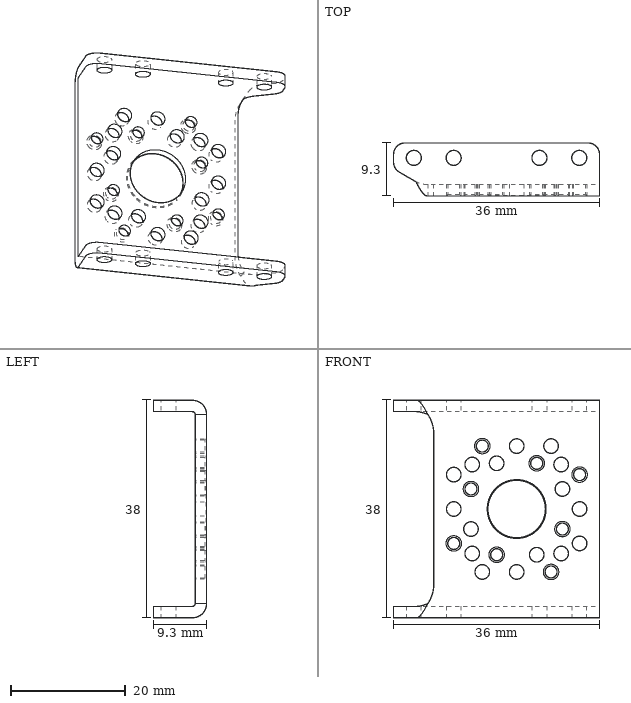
import cadquery as cq
import math

LENGTH = 36.0
DEPTH = 9.3
HEIGHT = 38.0
THICKNESS = 2.0
BEND_RADIUS = 2.5

CORNER_RADIUS = 2.0
EAR_FLAT = 1.35
EAR_SLOPE = 30.0
FLANGE_HOLE_DIAMETER = 2.6
FLANGE_HOLE_OFFSETS = (7.5, 14.45)
FLANGE_HOLE_INSET = 2.62

WEB_EDGE = 7.03
WEB_BEND_START = 6.0
WEB_ARC_HEIGHT = 3.42

WEB_PATTERN_INSET = 14.48
PATTERN_CENTER = LENGTH - WEB_PATTERN_INSET
BORE_DIAMETER = 10.0
BORE_CHAMFER = 0.15
CLEAR_DIAMETER = 2.5
SMALL_DIAMETER = 2.05
COUNTERSINK_DIAMETER = 2.7
PITCH_RADIUS = 11.0
OUTER_OFFSET = 6.0
INNER_RADIAL = 7.98
INNER_OFFSET = 3.5

EAR_END_X = CORNER_RADIUS * (1 - math.cos(math.radians(90 - EAR_SLOPE)))
EAR_END_Y = DEPTH - CORNER_RADIUS - EAR_FLAT - CORNER_RADIUS * math.cos(math.radians(EAR_SLOPE))
FLANGE_BEND_START = EAR_END_X + (EAR_END_Y - BEND_RADIUS) / math.tan(math.radians(EAR_SLOPE))
BEND_AXIS_Z = HEIGHT / 2 - BEND_RADIUS


def make_flange():
    """Upper flange, down to the start of the bend, with its four holes."""
    ear_mid_angle = math.radians((90 - EAR_SLOPE) / 2)
    ear_center_y = DEPTH - CORNER_RADIUS - EAR_FLAT
    ear_mid = (
        CORNER_RADIUS * (1 - math.cos(ear_mid_angle)),
        ear_center_y - CORNER_RADIUS * math.sin(ear_mid_angle),
    )
    flange = (
        cq.Workplane("XY", origin=(0, 0, HEIGHT / 2 - THICKNESS))
        .moveTo(FLANGE_BEND_START, BEND_RADIUS)
        .lineTo(LENGTH, BEND_RADIUS)
        .lineTo(LENGTH, DEPTH - CORNER_RADIUS)
        .radiusArc((LENGTH - CORNER_RADIUS, DEPTH), -CORNER_RADIUS)
        .lineTo(CORNER_RADIUS, DEPTH)
        .radiusArc((0, DEPTH - CORNER_RADIUS), -CORNER_RADIUS)
        .lineTo(0, ear_center_y)
        .threePointArc(ear_mid, (EAR_END_X, EAR_END_Y))
        .close()
        .extrude(THICKNESS)
    )
    hole_points = [
        (LENGTH / 2 + side * offset, DEPTH - FLANGE_HOLE_INSET)
        for offset in FLANGE_HOLE_OFFSETS
        for side in (-1, 1)
    ]
    holes = (
        cq.Workplane("XY", origin=(0, 0, HEIGHT / 2 - THICKNESS))
        .pushPoints(hole_points)
        .circle(FLANGE_HOLE_DIAMETER / 2)
        .extrude(THICKNESS)
    )
    return flange.cut(holes)


def make_bend():
    """Upper quarter-round bend; its left end face spirals from flange to web."""
    axis = cq.Workplane("YZ", origin=(FLANGE_BEND_START, BEND_RADIUS, BEND_AXIS_Z))
    inner_radius = BEND_RADIUS - THICKNESS
    half = math.sqrt(0.5)
    ring = (
        axis.moveTo(0, BEND_RADIUS)
        .threePointArc((-BEND_RADIUS * half, BEND_RADIUS * half), (-BEND_RADIUS, 0))
        .lineTo(-inner_radius, 0)
        .threePointArc((-inner_radius * half, inner_radius * half), (0, inner_radius))
        .close()
        .extrude(LENGTH - FLANGE_BEND_START)
    )
    spiral_size = 2 * BEND_RADIUS
    spiral = (
        axis.rect(spiral_size, spiral_size, centered=False)
        .twistExtrude(WEB_BEND_START - FLANGE_BEND_START, 90)
    )
    spiral_end = ring.intersect(spiral)
    full_end = ring.intersect(
        cq.Workplane("XY").box(LENGTH, HEIGHT, HEIGHT).translate((WEB_BEND_START + LENGTH / 2, 0, 0))
    )
    return full_end.union(spiral_end)


def make_web():
    """Flat web between the bends, with its left edge flaring at both ends."""
    flare = WEB_EDGE - WEB_BEND_START
    flare_radius = (WEB_ARC_HEIGHT**2 + flare**2) / (2 * flare)
    arc_z = BEND_AXIS_Z - WEB_ARC_HEIGHT
    return (
        cq.Workplane("XZ")
        .moveTo(WEB_BEND_START, BEND_AXIS_Z)
        .lineTo(LENGTH, BEND_AXIS_Z)
        .lineTo(LENGTH, -BEND_AXIS_Z)
        .lineTo(WEB_BEND_START, -BEND_AXIS_Z)
        .radiusArc((WEB_EDGE, -arc_z), -flare_radius)
        .lineTo(WEB_EDGE, arc_z)
        .radiusArc((WEB_BEND_START, BEND_AXIS_Z), -flare_radius)
        .close()
        .extrude(-THICKNESS)
    )


def quarter_turns(x, z):
    """The point and its copies turned by 90, 180 and 270 degrees."""
    return [(x, z), (-z, x), (-x, -z), (z, -x)]


def cut_web_holes(body):
    """Chamfered bore and the surrounding clear and countersunk holes."""
    diagonal = PITCH_RADIUS * math.sqrt(0.5)
    clear_points = (
        quarter_turns(PITCH_RADIUS, 0)
        + quarter_turns(diagonal, diagonal)
        + quarter_turns(OUTER_OFFSET, PITCH_RADIUS)
        + quarter_turns(-INNER_OFFSET, INNER_RADIAL)
    )
    countersunk_points = (
        quarter_turns(-OUTER_OFFSET, PITCH_RADIUS)
        + quarter_turns(INNER_OFFSET, INNER_RADIAL)
    )
    face = cq.Workplane("XZ", origin=(PATTERN_CENTER, 0, 0))
    bore_mouth = BORE_DIAMETER / 2 + BORE_CHAMFER
    body = body.cut(face.circle(BORE_DIAMETER / 2).extrude(-THICKNESS))
    body = body.cut(face.circle(bore_mouth).extrude(-BORE_CHAMFER, taper=45))
    body = body.cut(face.pushPoints(clear_points).circle(CLEAR_DIAMETER / 2).extrude(-THICKNESS))
    body = body.cut(face.pushPoints(countersunk_points).circle(SMALL_DIAMETER / 2).extrude(-THICKNESS))
    countersink_depth = (COUNTERSINK_DIAMETER - SMALL_DIAMETER) / 2
    countersinks = (
        face.pushPoints(countersunk_points)
        .circle(COUNTERSINK_DIAMETER / 2)
        .extrude(-countersink_depth, taper=45)
    )
    return body.cut(countersinks)


upper_side = make_flange().union(make_bend())
channel = make_web().union(upper_side).union(upper_side.mirror("XY"))
result = cut_web_holes(channel)